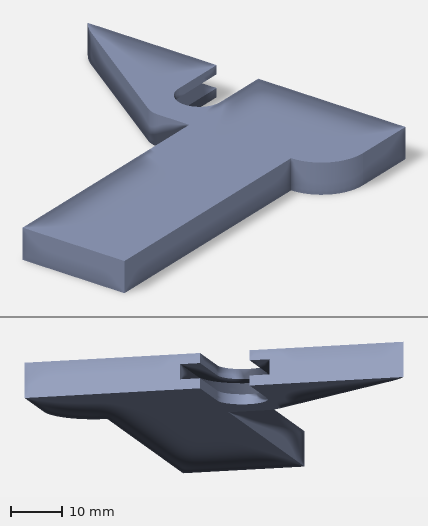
import cadquery as cq

length_x = 76.42
length_y = 79.0
thickness = 7.0

head_depth = 24.0
head_corner_radius = 10.0

handle_width = 24.5
handle_right = -head_corner_radius
handle_left = handle_right - handle_width

tip_x = -length_x
tip_round_width = 3.0
tip_round_depth = 3.0
elbow_x = -43.7
elbow_radius = 5.0

slot_width = 10.0
slot_depth = 17.5
slot_center_x = -40.4
groove_height = 3.0
groove_depth = 4.0


def make_plate():
    """Flat plate: head with a pointed arm, and the handle running towards -Y."""
    plate = (
        cq.Workplane("XY")
        .moveTo(0, 0)
        .lineTo(0, head_corner_radius - head_depth)
        .radiusArc((handle_right, -head_depth), head_corner_radius)
        .lineTo(handle_right, -length_y)
        .lineTo(handle_left, -length_y)
        .lineTo(handle_left, -head_depth)
        .lineTo(elbow_x, -head_depth)
        .lineTo(tip_x + tip_round_width, -tip_round_depth)
        .tangentArcPoint((tip_x, 0), relative=False)
        .close()
        .extrude(thickness)
    )
    elbow_edge = cq.selectors.NearestToPointSelector((elbow_x, -head_depth, thickness / 2))
    return plate.edges(elbow_edge).fillet(elbow_radius)


def make_slot_cutter(width, depth, height):
    """Round-ended slot centred on the plate's mid-plane, open at the back edge."""
    radius = width / 2
    left = slot_center_x - radius
    right = slot_center_x + radius
    return (
        cq.Workplane("XY", origin=(0, 0, (thickness - height) / 2))
        .moveTo(left, 0)
        .lineTo(left, radius - depth)
        .threePointArc((slot_center_x, -depth), (right, radius - depth))
        .lineTo(right, 0)
        .close()
        .extrude(height)
    )


slot = make_slot_cutter(slot_width, slot_depth, thickness)
groove = make_slot_cutter(slot_width + 2 * groove_depth, slot_depth + groove_depth, groove_height)

result = make_plate().cut(slot).cut(groove)